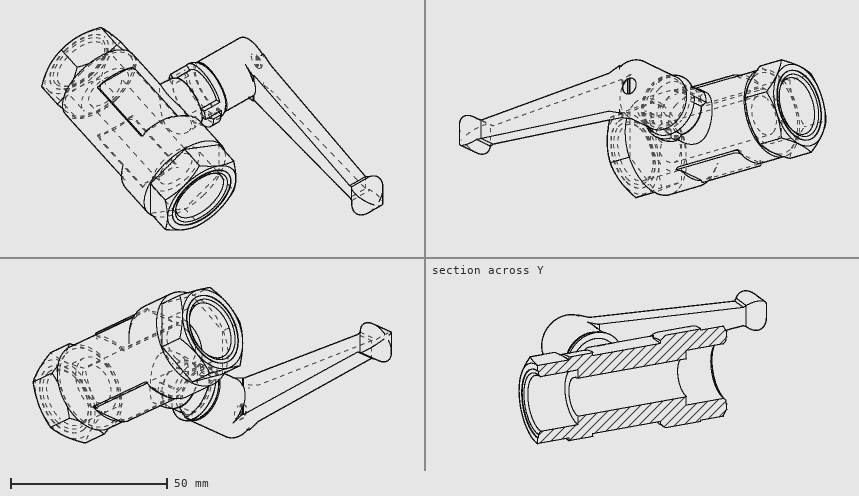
import cadquery as cq
import math


body_length = 67.4
body_radius = 14.5
hex_flats = 27.0
hex_corner_radius = hex_flats / math.sqrt(3)
inlet_hex_end = 11.2
hex_face_radius = 13.4
hex_chamfer_angle = 30.0
collar_radius = 16.0
collar_start = 46.1
collar_end = 58.1
shoulder_foot_radius = 1.0
shoulder_crown_radius = 1.5

through_radius = 6.5
port_radius = 9.3
port_mouth_radius = 10.2
port_depth = 14.4
face_recess_radius = 11.5
face_recess_depth = 0.2

pad_start = 19.8
pad_end = 45.1
pad_recess_end = 43.7
pad_width = 13.8
pad_height = hex_flats / 2
pad_corner_radius = 2.0
pad_recess_floor = 12.6

stem_x = 32.9
boss_radius = 8.8
boss_straight_top = 15.4
boss_top = 19.1
boss_top_radius = 8.2
neck_radius = 8.0

lug_radius = 11.0
lug_top = 24.5
lug_slope_start = 21.6
stop_angle = 24.0
stop_end_outer_z = 0.6
stop_end_inner_z = -0.3

flange_bottom = 25.3
flange_radius = 10.0
flange_top_radius = 8.4
hub_bottom = 28.2
hub_top = 46.1
hub_radius = 9.1
hub_edge_radius = 1.0
screw_radius = 2.7
screw_height = 0.6
screw_edge_radius = 0.5
screw_slot_width = 0.7
screw_slot_depth = 0.3

root_start_offset = 4.1
root_end_offset = 8.3
root_bottom = 39.0
root_start_half_width = math.sqrt(hub_radius**2 - root_start_offset**2)
arm_start_x = stem_x + root_end_offset
arm_end_x = 93.0
arm_start_half_width = 6.6
arm_end_half_width = 3.2
arm_start_bottom = 39.4
arm_end_bottom = 39.9
grip_radius = 5.0
grip_x = 102.5 - grip_radius
grip_y = 43.6
grip_neck_x = 94.0
grip_neck_half = math.sqrt(grip_radius**2 - (grip_x - grip_neck_x) ** 2)


def revolve_about_flow_axis(profile):
    """Revolve an (x, radius) profile about X."""
    return profile.close().revolve(360, (0, 0, 0), (1, 0, 0))


def revolve_about_stem(profile, angle=360):
    """Revolve a (radius, y) profile, drawn from the stem axis, about that axis."""
    return profile.close().revolve(angle, (0, 0, 0), (0, 1, 0)).translate((stem_x, 0, 0))


def hexagon(start, end, rotation, chamfer_start, chamfer_end):
    """Hexagonal prism along X with its corners turned off at the chosen ends."""
    prism = cq.Workplane("YZ").polygon(6, 2 * hex_corner_radius).extrude(end - start)
    prism = prism.rotate((0, 0, 0), (1, 0, 0), rotation).translate((start, 0, 0))
    chamfer = (hex_corner_radius - hex_face_radius) * math.tan(math.radians(hex_chamfer_angle))
    start_radius = hex_face_radius if chamfer_start else hex_corner_radius
    end_radius = hex_face_radius if chamfer_end else hex_corner_radius
    turned = revolve_about_flow_axis(
        cq.Workplane("XY")
        .moveTo(start, 0)
        .lineTo(start, start_radius)
        .lineTo(start + chamfer, hex_corner_radius)
        .lineTo(end - chamfer, hex_corner_radius)
        .lineTo(end, end_radius)
        .lineTo(end, 0)
    )
    return prism.intersect(turned)


def barrel():
    """Round body and collar, joined by a 45 degree shoulder with rounded foot and crown."""
    run = math.sin(math.radians(45))
    rise = 1 - math.cos(math.radians(45))
    crown_x = collar_start - shoulder_crown_radius * run
    crown_r = collar_radius - shoulder_crown_radius * rise
    foot_r = body_radius + shoulder_foot_radius * rise
    foot_x = crown_x - (crown_r - foot_r)
    foot_start = foot_x - shoulder_foot_radius * run
    return revolve_about_flow_axis(
        cq.Workplane("XY")
        .moveTo(inlet_hex_end, 0)
        .lineTo(inlet_hex_end, body_radius)
        .lineTo(foot_start, body_radius)
        .tangentArcPoint((foot_x, foot_r), relative=False)
        .lineTo(crown_x, crown_r)
        .tangentArcPoint((collar_start, collar_radius), relative=False)
        .lineTo(collar_end, collar_radius)
        .lineTo(collar_end, 0)
    )


def with_flat_pads(body):
    """Cut square-ended recesses into the barrel, then raise a rounded pad in each."""
    recess_length = pad_recess_end - pad_start
    recess = cq.Workplane("XY").box(
        recess_length, pad_width, body_radius, centered=(False, True, False)
    )
    recess = recess.translate((pad_start, 0, pad_recess_floor))
    body = body.cut(recess).cut(recess.mirror("XY"))
    pads = cq.Workplane("XY").box(
        pad_end - pad_start, pad_width, 2 * pad_height, centered=(False, True, True)
    )
    pads = pads.edges("|Z and <X").fillet(pad_corner_radius)
    return body.union(pads.translate((pad_start, 0, 0)))


def port():
    """Threaded port at x = 0: face recess, countersunk mouth and bore."""
    mouth_end = face_recess_depth + port_mouth_radius - port_radius
    return revolve_about_flow_axis(
        cq.Workplane("XY")
        .moveTo(0, 0)
        .lineTo(0, face_recess_radius)
        .lineTo(face_recess_depth, face_recess_radius)
        .lineTo(face_recess_depth, port_mouth_radius)
        .lineTo(mouth_end, port_radius)
        .lineTo(port_depth, port_radius)
        .lineTo(port_depth, 0)
    )


def stem():
    """Boss on the body, tapering in an arc to its top, and the neck under the handle."""
    return revolve_about_stem(
        cq.Workplane("XY")
        .lineTo(boss_radius, 0)
        .lineTo(boss_radius, boss_straight_top)
        .tangentArcPoint((boss_top_radius, boss_top), relative=False)
        .lineTo(neck_radius, boss_top)
        .lineTo(neck_radius, hub_bottom)
        .lineTo(0, hub_bottom)
    )


def stop_lug():
    """Quarter-turn lug fixed to the neck between the +X and -Z directions."""
    slope_drop = lug_slope_start - boss_top
    return revolve_about_stem(
        cq.Workplane("XY")
        .moveTo(0, boss_top)
        .lineTo(lug_radius - slope_drop, boss_top)
        .lineTo(lug_radius, lug_slope_start)
        .lineTo(lug_radius, lug_top)
        .lineTo(0, lug_top),
        angle=90,
    )


def handle_stops():
    """Two short ring sectors under the flange that meet the lug."""
    angle = math.radians(stop_angle)
    reach = 2 * flange_radius
    slope = (stop_end_outer_z - stop_end_inner_z) / (flange_radius - neck_radius)
    reach_z = stop_end_outer_z + slope * (reach - flange_radius)
    height = flange_bottom - boss_top
    disc = cq.Workplane("XZ").circle(flange_radius).extrude(-height)
    wedge = (
        cq.Workplane("XZ")
        .lineTo(reach * math.cos(angle), reach * math.sin(angle))
        .lineTo(reach, reach_z)
        .lineTo(neck_radius, stop_end_inner_z)
        .close()
        .extrude(-height)
    )
    stop = disc.intersect(wedge)
    return stop.union(stop.mirror("YZ")).translate((stem_x, boss_top, 0))


def hub():
    """Handle hub with its rounded flange and the slotted screw head on top."""
    flange_height = hub_bottom - flange_bottom
    flange_inset = flange_radius - flange_top_radius
    flange_arc = (flange_height**2 + flange_inset**2) / (2 * flange_inset)
    half_sweep = math.asin(flange_height / flange_arc) / 2
    arc_middle = (
        flange_radius - flange_arc * (1 - math.cos(half_sweep)),
        flange_bottom + flange_arc * math.sin(half_sweep),
    )
    flange = revolve_about_stem(
        cq.Workplane("XY")
        .moveTo(0, flange_bottom)
        .lineTo(flange_radius, flange_bottom)
        .threePointArc(arc_middle, (flange_top_radius, hub_bottom))
        .lineTo(0, hub_bottom)
    )
    cylinder = cq.Workplane("XZ").circle(hub_radius).extrude(-(hub_top - hub_bottom))
    cylinder = cylinder.faces(">Y").edges().fillet(hub_edge_radius)
    screw = cq.Workplane("XZ").circle(screw_radius).extrude(-screw_height)
    screw = screw.faces(">Y").edges().fillet(screw_edge_radius)
    slot = cq.Workplane("XY").box(screw_slot_width, 2 * screw_slot_depth, 2 * screw_radius)
    screw = screw.cut(slot.translate((0, screw_height, 0)))
    cylinder = cylinder.translate((stem_x, hub_bottom, 0))
    screw = screw.translate((stem_x, hub_top, 0))
    return flange.union(cylinder).union(screw)


def tapered_bar(start, end):
    """Straight-sided bar along X; each end is (x, bottom y, top y, half width in z)."""
    start_x, start_bottom, start_top, start_half = start
    end_x, end_bottom, end_top, end_half = end
    return (
        cq.Workplane("YZ", origin=(start_x, 0, 0))
        .center((start_bottom + start_top) / 2, 0)
        .rect(start_top - start_bottom, 2 * start_half)
        .workplane(offset=end_x - start_x)
        .center((end_bottom + end_top - start_bottom - start_top) / 2, 0)
        .rect(end_top - end_bottom, 2 * end_half)
        .loft(ruled=True)
    )


def arm():
    """Root, long taper and flared neck from the hub to the grip."""
    root_x = stem_x + root_start_offset
    root = tapered_bar(
        (root_x, root_bottom, hub_top, root_start_half_width),
        (arm_start_x, root_bottom, hub_top, arm_start_half_width),
    )
    taper = tapered_bar(
        (arm_start_x, arm_start_bottom, hub_top, arm_start_half_width),
        (arm_end_x, arm_end_bottom, hub_top, arm_end_half_width),
    )
    neck = tapered_bar(
        (arm_end_x, arm_end_bottom, hub_top, arm_end_half_width),
        (grip_neck_x, grip_y - grip_neck_half, grip_y + grip_neck_half, grip_neck_half),
    )
    return root.union(taper).union(neck)


def grip():
    """Knob that is round both across Y and across Z: two crossed cylinders in common."""
    length = 2 * grip_radius
    along_z = cq.Workplane("XY").circle(grip_radius).extrude(length / 2, both=True)
    along_y = cq.Workplane("XZ").circle(grip_radius).extrude(length / 2, both=True)
    return along_z.intersect(along_y).translate((grip_x, grip_y, 0))


body = (
    with_flat_pads(barrel())
    .union(hexagon(0, inlet_hex_end, 0, True, True))
    .union(hexagon(collar_end, body_length, 30, False, True))
    .union(stem())
    .union(stop_lug())
)
handle = hub().union(handle_stops()).union(arm()).union(grip())

inlet_port = port()
outlet_port = inlet_port.mirror("YZ").translate((body_length, 0, 0))
through_bore = cq.Workplane("YZ").circle(through_radius).extrude(body_length)

result = body.union(handle).cut(inlet_port).cut(outlet_port).cut(through_bore)